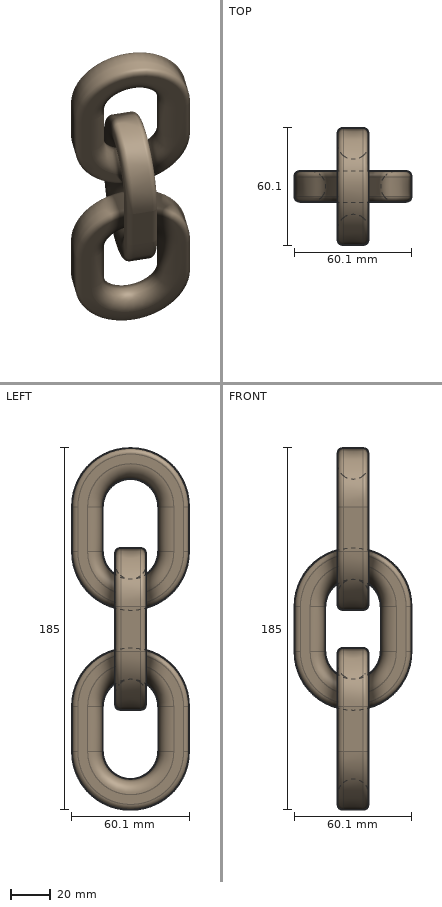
import cadquery as cq
import math

CHAIN_LENGTH = 185.0
LINK_COUNT = 3
BAR_SIZE = 16.0
INNER_WIDTH = 28.1
OUTER_CORNER_RADIUS = 3.0
TURN_ANGLE = 90.0

PITCH = (CHAIN_LENGTH - 2 * BAR_SIZE) / LINK_COUNT
STRAIGHT_LENGTH = PITCH - INNER_WIDTH
HALF_STRAIGHT = STRAIGHT_LENGTH / 2
HALF_BAR = BAR_SIZE / 2
CENTRELINE_RADIUS = INNER_WIDTH / 2 + HALF_BAR


def bar_section():
    """Bar cross-section at the lower end of the +Y leg: full-round inside, rounded corners outside."""
    inner = CENTRELINE_RADIUS - HALF_BAR
    outer = CENTRELINE_RADIUS + HALF_BAR
    corner_start = outer - OUTER_CORNER_RADIUS
    flat_edge = HALF_BAR - OUTER_CORNER_RADIUS
    corner_middle = OUTER_CORNER_RADIUS * math.sqrt(0.5)
    return (
        cq.Workplane("XY", origin=(0, 0, -HALF_STRAIGHT))
        .moveTo(-HALF_BAR, CENTRELINE_RADIUS)
        .threePointArc((0, inner), (HALF_BAR, CENTRELINE_RADIUS))
        .lineTo(HALF_BAR, corner_start)
        .threePointArc((flat_edge + corner_middle, corner_start + corner_middle), (flat_edge, outer))
        .lineTo(-flat_edge, outer)
        .threePointArc((-flat_edge - corner_middle, corner_start + corner_middle), (-HALF_BAR, corner_start))
        .close()
    )


def link_centreline():
    """Closed path of two straight legs joined by semicircular bends, in the YZ plane."""
    bend_tip = HALF_STRAIGHT + CENTRELINE_RADIUS
    return (
        cq.Workplane("YZ")
        .moveTo(CENTRELINE_RADIUS, -HALF_STRAIGHT)
        .lineTo(CENTRELINE_RADIUS, HALF_STRAIGHT)
        .threePointArc((0, bend_tip), (-CENTRELINE_RADIUS, HALF_STRAIGHT))
        .lineTo(-CENTRELINE_RADIUS, -HALF_STRAIGHT)
        .threePointArc((0, -bend_tip), (CENTRELINE_RADIUS, -HALF_STRAIGHT))
        .close()
    )


def chain_link(index):
    """One link, counted from the bottom of the chain, turned and raised into its place."""
    height = (index - (LINK_COUNT - 1) / 2) * PITCH
    link = bar_section().sweep(link_centreline())
    return link.rotate((0, 0, 0), (0, 0, 1), index * TURN_ANGLE).translate((0, 0, height))


links = [chain_link(index) for index in range(LINK_COUNT)]

result = cq.Compound.makeCompound([link.val() for link in links])